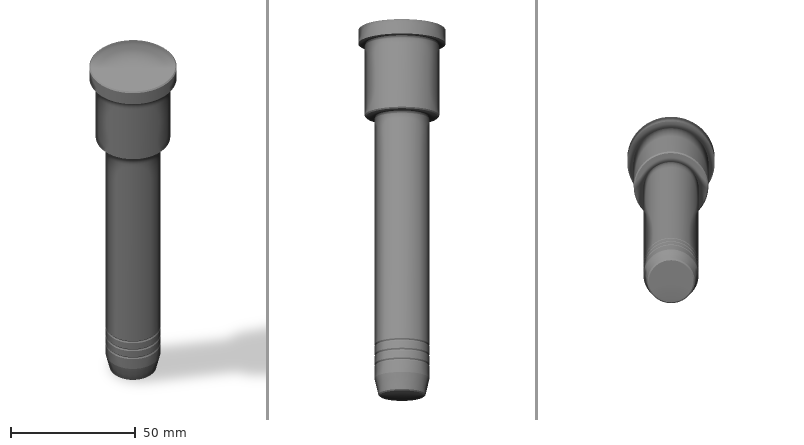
import cadquery as cq

length = 151.0
head_radius = 17.5
shoulder_radius = 15.0
shaft_radius = 11.0

head_height = 6.0
shoulder_height = 30.0
shoulder_top = length - head_height
shoulder_bottom = shoulder_top - shoulder_height

edge_chamfer = 0.5

relief_width = 1.0
relief_depth = 0.3
head_relief_slope = relief_depth

groove_count = 3
lowest_groove_height = 12.5
highest_groove_height = 20.5
groove_pitch = (highest_groove_height - lowest_groove_height) / (groove_count - 1)
groove_width = 1.0
groove_depth = 0.38

tip_height = 7.1
tip_radius = 9.4
tip_chamfer = 0.5


def cylinder(radius, bottom, top):
    """Solid cylinder on the Z axis between two heights."""
    return cq.Workplane("XY").workplane(offset=bottom).circle(radius).extrude(top - bottom)


def ring(section):
    """Ring swept round the Z axis from a closed section of (radius, height) points."""
    return cq.Workplane("XZ").polyline(section).close().revolve(360, (0, 0), (0, 1))


def relief(radius, top, slope_height=0):
    """Undercut just below a step; its lower side may slope out over the given height."""
    floor_radius = radius - relief_depth
    bottom = top - relief_width
    return ring([
        (radius, top),
        (floor_radius, top),
        (floor_radius, bottom + slope_height),
        (radius, bottom),
    ])


def v_groove(height):
    """V-shaped ring cut into the shaft, centred on the given height."""
    return ring([
        (shaft_radius, height - groove_width / 2),
        (shaft_radius - groove_depth, height),
        (shaft_radius, height + groove_width / 2),
    ])


def make_head():
    return cylinder(head_radius, shoulder_top, length).faces(">Z").chamfer(edge_chamfer)


def make_shoulder():
    body = cylinder(shoulder_radius, shoulder_bottom, shoulder_top)
    body = body.faces("<Z").chamfer(edge_chamfer)
    return body.cut(relief(shoulder_radius, shoulder_top, head_relief_slope))


def make_shaft():
    body = cylinder(shaft_radius, tip_height, shoulder_bottom)
    body = body.cut(relief(shaft_radius, shoulder_bottom))
    for index in range(groove_count):
        body = body.cut(v_groove(lowest_groove_height + index * groove_pitch))
    return body


def make_tip():
    cone = (
        cq.Workplane("XY")
        .circle(tip_radius)
        .workplane(offset=tip_height)
        .circle(shaft_radius)
        .loft(ruled=True)
    )
    return cone.faces("<Z").chamfer(tip_chamfer)


result = make_head().union(make_shoulder()).union(make_shaft()).union(make_tip())